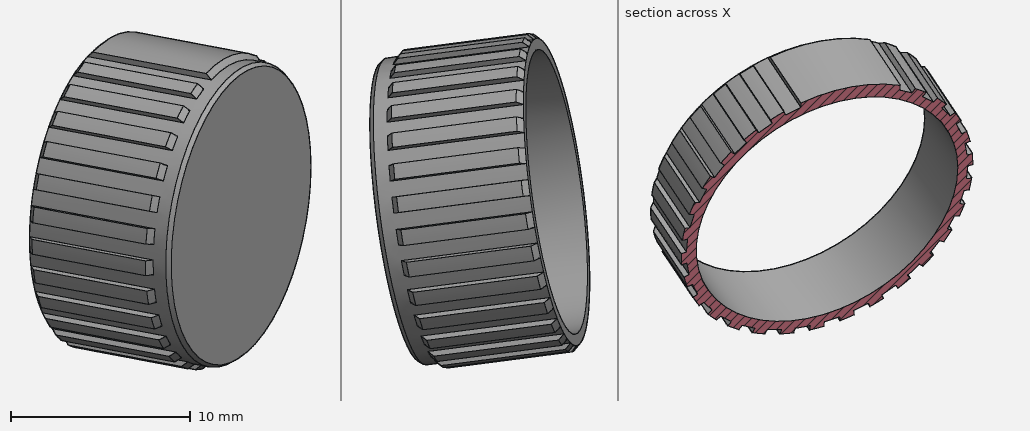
import cadquery as cq

CAP_LENGTH = 8.8
BODY_RADIUS = 8.63
BORE_RADIUS = 8.0
BORE_DEPTH = 4.8
END_CHAMFER_LENGTH = 0.25
END_CHAMFER_DEPTH = 0.18

GRIP_RADIUS = 8.95
GRIP_LENGTH = 7.77
OPEN_END_BEVEL = 0.34
CLOSED_END_BEVEL = GRIP_RADIUS - BODY_RADIUS
GRIP_INNER_RADIUS = (BORE_RADIUS + BODY_RADIUS) / 2

RIB_WIDTH = 0.9
RIB_OFFSET = 0.3
RIB_POSITIONS = 30
POSITIONS_UNDER_PANEL = 4
RIB_COUNT = RIB_POSITIONS - POSITIONS_UNDER_PANEL
RIB_PITCH = 360 / RIB_POSITIONS
FIRST_RIB_STEP = 9

PANEL_Y_MIN = -1.61
PANEL_Y_MAX = 4.5


def revolve_about_x(profile):
    return profile.close().revolve(360, (0, 0, 0), (1, 0, 0))


def make_body():
    """Solid of revolution with a blind bore and a chamfered closed end."""
    return revolve_about_x(
        cq.Workplane("XY")
        .moveTo(0, BORE_RADIUS)
        .lineTo(0, BODY_RADIUS)
        .lineTo(CAP_LENGTH - END_CHAMFER_LENGTH, BODY_RADIUS)
        .lineTo(CAP_LENGTH, BODY_RADIUS - END_CHAMFER_DEPTH)
        .lineTo(CAP_LENGTH, 0)
        .lineTo(BORE_DEPTH, 0)
        .lineTo(BORE_DEPTH, BORE_RADIUS)
    )


def make_grip_envelope():
    """Bevelled ring from which the ribs and the panel are cut."""
    return revolve_about_x(
        cq.Workplane("XY")
        .moveTo(0, GRIP_INNER_RADIUS)
        .lineTo(0, BODY_RADIUS)
        .lineTo(OPEN_END_BEVEL, GRIP_RADIUS)
        .lineTo(GRIP_LENGTH - CLOSED_END_BEVEL, GRIP_RADIUS)
        .lineTo(GRIP_LENGTH, BODY_RADIUS)
        .lineTo(GRIP_LENGTH, GRIP_INNER_RADIUS)
    )


def make_rib_block(angle):
    """Bar reaching from the axis toward +Y, shifted sideways, then turned about X."""
    return (
        cq.Workplane("XY")
        .box(GRIP_LENGTH, 2 * GRIP_RADIUS, RIB_WIDTH, centered=(False, False, True))
        .translate((0, 0, RIB_OFFSET))
        .rotate((0, 0, 0), (1, 0, 0), angle)
    )


def make_panel_block():
    """Upright block bounding the panel above the cap axis."""
    return cq.Workplane("XY").box(
        GRIP_LENGTH, PANEL_Y_MAX - PANEL_Y_MIN, 2 * GRIP_RADIUS, centered=False
    ).translate((0, PANEL_Y_MIN, 0))


envelope = make_grip_envelope()
result = make_body().union(envelope.intersect(make_panel_block()))
for step in range(FIRST_RIB_STEP, FIRST_RIB_STEP + RIB_COUNT):
    rib_block = make_rib_block(step * RIB_PITCH)
    result = result.union(envelope.intersect(rib_block))